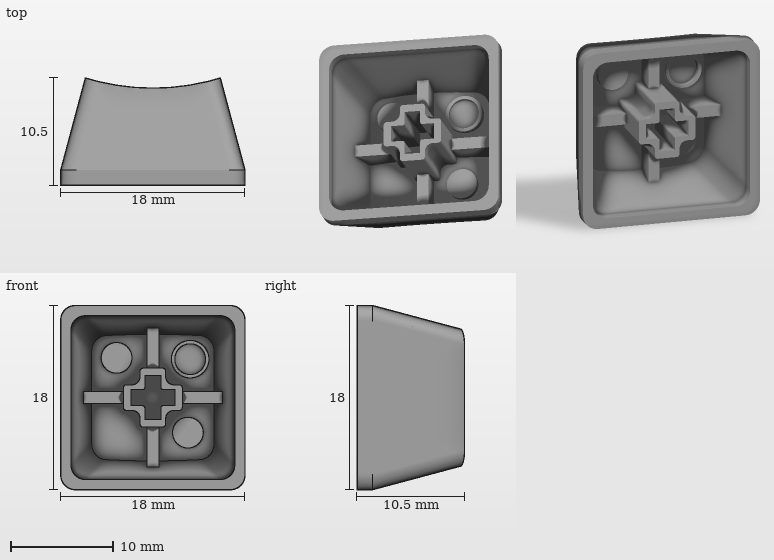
import cadquery as cq
import math


base_width = 18.0
cap_height = 10.5
skirt_height = 1.5
wall_draft = 15.0
corner_radius = 1.5
wall_thickness = 1.0
top_thickness = 1.2

dish_depth = 1.0
dish_bottom = cap_height - dish_depth
top_half_width = base_width / 2 - (cap_height - skirt_height) * math.tan(math.radians(wall_draft))
dish_radius = (top_half_width**2 + dish_depth**2) / (2 * dish_depth)
dish_axis_height = dish_bottom + dish_radius

stem_width = 5.75
stem_arm_width = 2.5
stem_tip_radius = 0.3
stem_inner_radius = 0.8
stem_start = 1.5
socket_width = 4.3
socket_arm_width = 1.58
socket_inner_radius = 0.2

rib_width = 1.15
rib_span = 13.55
rib_start = 6.0

pad_radius = 1.5
pad_drop = 0.2
pad_centers = [(-3.54, 3.88), (3.42, -3.42)]
ring_center = (3.64, 3.75)
ring_outer_radius = 1.83
ring_inner_radius = 1.5

ceiling_height = dish_bottom - top_thickness
selection_margin = 0.1


def plane_at(height):
    """XZ plane at the given y whose extrusions grow toward +Y and whose local axes are +X and -Z."""
    return cq.Plane(origin=(0, height, 0), xDir=(1, 0, 0), normal=(0, 1, 0))


def column(x_size, z_size, start, end):
    """Rectangular block centred on the Y axis from y = start to y = end."""
    return cq.Workplane(plane_at(start)).rect(x_size, z_size).extrude(end - start)


def disc(center, radius, start, end):
    """Round column along Y at the given (x, z) centre."""
    x, z = center
    return cq.Workplane(plane_at(start)).center(x, -z).circle(radius).extrude(end - start)


def dished_frustum(width, roof_thickness):
    """Straight skirt and drafted walls with rounded corners, closed by the dish offset by roof_thickness."""
    skirt = column(width, width, 0, skirt_height).edges("|Y").fillet(corner_radius)
    drafted = (
        cq.Workplane(plane_at(skirt_height))
        .rect(width, width)
        .extrude(cap_height - skirt_height, taper=wall_draft)
        .edges("not #Y")
        .fillet(corner_radius)
    )
    dish = (
        cq.Workplane("XY")
        .center(0, dish_axis_height)
        .circle(dish_radius + roof_thickness)
        .extrude(base_width, both=True)
    )
    return skirt.union(drafted).cut(dish)


def cross(width, arm_width, start, end):
    """Plus-shaped column centred on the Y axis."""
    return column(width, arm_width, start, end).union(column(arm_width, width, start, end))


def round_inner_corners(plus, arm_width, radius):
    """Fillet the four re-entrant edges where the arms of a plus-shaped column meet."""
    reach = arm_width / 2 + selection_margin
    corner_box = cq.selectors.BoxSelector((-reach, 0, -reach), (reach, cap_height, reach))
    return plus.edges("|Y").edges(corner_box).fillet(radius)


def make_stem():
    """Plus-shaped post with rounded tips and filleted inner corners."""
    post = cross(stem_width, stem_arm_width, stem_start, cap_height)
    post = round_inner_corners(post, stem_arm_width, stem_inner_radius)
    tip_edges = post.faces("<X or >X or <Z or >Z").edges("|Y")
    return tip_edges.fillet(stem_tip_radius)


def make_socket():
    """Cross-shaped opening with slightly rounded inner corners."""
    opening = cross(socket_width, socket_arm_width, stem_start, cap_height)
    return round_inner_corners(opening, socket_arm_width, socket_inner_radius)


def make_ceiling_pads():
    """Flat round pads and one ring standing down from the ceiling."""
    pad_start = ceiling_height - pad_drop
    outer = disc(ring_center, ring_outer_radius, pad_start, cap_height)
    pads = outer.cut(disc(ring_center, ring_inner_radius, pad_start, cap_height))
    for center in pad_centers:
        pads = pads.union(disc(center, pad_radius, pad_start, cap_height))
    return pads


outer_body = dished_frustum(base_width, 0)
cavity = dished_frustum(base_width - 2 * wall_thickness, top_thickness)

inner_features = (
    make_stem()
    .union(cross(rib_span, rib_width, rib_start, cap_height))
    .cut(make_socket())
    .union(make_ceiling_pads())
    .intersect(cavity)
)

result = outer_body.cut(cavity).union(inner_features)